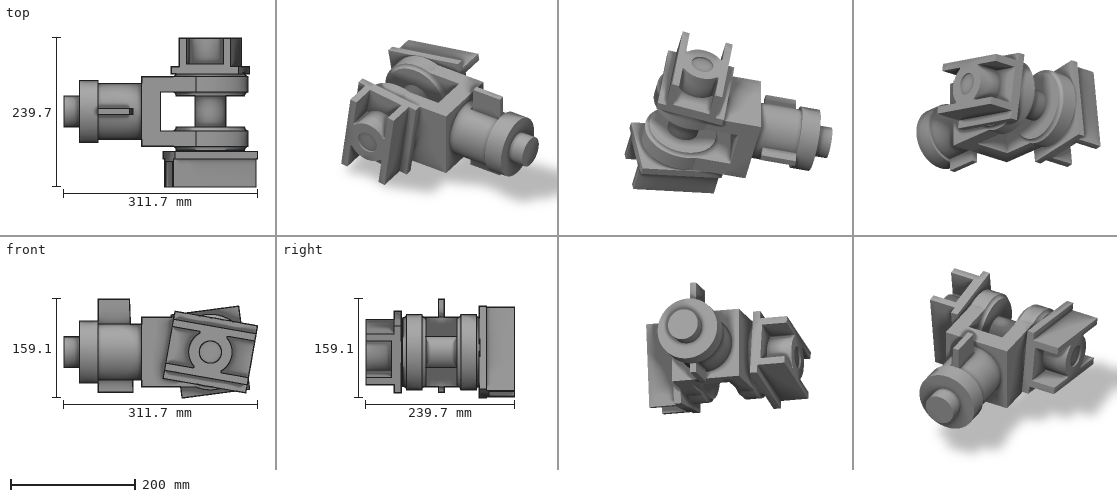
import cadquery as cq
import math


fork_width = 112.2
fork_half = fork_width / 2
block_left = -110.7
slot_left = -80.0
ear_thickness = 25.0
slot_width = fork_width - 2 * ear_thickness
ear_radius = 60.8
boss_radius = 55.2
boss_height = 6.2
boss_fillet = ear_radius - boss_radius

shank_diameter = 90.0
shank_length = 69.8
shank_left = block_left - shank_length
collar_diameter = 100.0
collar_thickness = 30.2
stub_diameter = 50.0
stub_length = 55.2

key_thickness = 10.0
key_top = 85.0
key_bottom = -64.8
key_top_length = 50.5
key_bottom_length = 56.5

shoe_length = 135.0
shoe_width = 109.7
shoe_height = 57.5
plate_thickness = 12.0
floor_thickness = 16.2
rail_outer_width = 83.2
rail_inner_width = 60.0
hub_radius = 35.0
hub_fillet = 2.0
shoe_gap = 124.7
shoe_shift = -2.0
front_shoe_angle = 10.0
rear_shoe_angle = 82.5

pin_diameter = 50.0
pin_end_diameter = 36.0
shoulder_clearance = 1.2
pin_recess = 3.0


def x_cylinder(diameter, left, length):
    return cq.Workplane("YZ", origin=(left, 0, 0)).circle(diameter / 2).extrude(length)


def y_cylinder(diameter, centre, length):
    start = (0, centre - length / 2, 0)
    return cq.Workplane("XZ", origin=start).circle(diameter / 2).extrude(-length)


def make_ear():
    """Round ear with a boss on each face, blended into the face by a concave fillet."""
    face = ear_thickness / 2
    tip = face + boss_height
    blend_end = face + boss_fillet
    blend_offset = boss_fillet * (1 - math.sqrt(0.5))
    blend_radius = boss_radius + blend_offset
    blend_height = face + blend_offset
    return (
        cq.Workplane("XY")
        .moveTo(0, -tip)
        .lineTo(boss_radius, -tip)
        .lineTo(boss_radius, -blend_end)
        .threePointArc((blend_radius, -blend_height), (ear_radius, -face))
        .lineTo(ear_radius, face)
        .threePointArc((blend_radius, blend_height), (boss_radius, blend_end))
        .lineTo(boss_radius, tip)
        .lineTo(0, tip)
        .close()
        .revolve(360, (0, 0, 0), (0, 1, 0))
    )


def make_fork():
    block = cq.Workplane("XY").box(-block_left, fork_width, fork_width)
    block = block.translate((block_left / 2, 0, 0))
    slot = cq.Workplane("XY").box(-slot_left, slot_width, fork_width)
    fork = block.cut(slot.translate((slot_left / 2, 0, 0)))
    for side in (-1, 1):
        ear_centre = side * (fork_half - ear_thickness / 2)
        fork = fork.union(make_ear().translate((0, ear_centre, 0)))
    fork = fork.union(x_cylinder(shank_diameter, shank_left, shank_length))
    fork = fork.union(x_cylinder(stub_diameter, shank_left - stub_length, stub_length))
    pin_bore = y_cylinder(pin_diameter, 0, fork_width + 2 * boss_height)
    key_slot = cq.Workplane("XY", origin=(shank_left + key_bottom_length / 2, 0, 0))
    key_slot = key_slot.box(key_bottom_length, key_thickness, shank_diameter)
    return fork.cut(pin_bore).cut(key_slot)


def make_collar():
    left = shank_left - collar_thickness
    ring = x_cylinder(collar_diameter, left, collar_thickness)
    return ring.cut(x_cylinder(stub_diameter, left, collar_thickness))


def make_key():
    """Wedge through the shank, bearing on the collar face and tapering upward."""
    return (
        cq.Workplane("XZ", origin=(shank_left, 0, 0))
        .polyline([
            (0, key_bottom),
            (key_bottom_length, key_bottom),
            (key_top_length, key_top),
            (0, key_top),
        ])
        .close()
        .extrude(key_thickness / 2, both=True)
    )


def make_pin():
    pin = y_cylinder(pin_diameter, shoe_shift, shoe_gap - 2 * shoulder_clearance)
    full_length = shoe_gap + 2 * (shoe_height - pin_recess)
    return pin.union(y_cylinder(pin_end_diameter, shoe_shift, full_length))


def make_shoe():
    """Shoe lying flat: plate on Z = 0, rails along X, open pockets beside the hub."""
    plate = cq.Workplane("XY").rect(shoe_length, shoe_width).extrude(plate_thickness)
    channel = cq.Workplane("XY").rect(shoe_length, rail_outer_width).extrude(shoe_height)
    pocket_depth = shoe_height - floor_thickness
    floor = cq.Workplane("XY", origin=(0, 0, floor_thickness))
    pockets = floor.rect(shoe_length, rail_inner_width).extrude(pocket_depth)
    pockets = pockets.cut(floor.circle(hub_radius).extrude(pocket_depth))
    corner_limit = (hub_radius + rail_outer_width / 2) / 2
    corners = cq.selectors.BoxSelector(
        (-hub_radius + hub_fillet, -corner_limit, 0),
        (hub_radius - hub_fillet, corner_limit, shoe_height),
    )
    pockets = pockets.edges("|Z").edges(corners).fillet(hub_fillet)
    bore = cq.Workplane("XY").circle(pin_end_diameter / 2).extrude(shoe_height)
    return plate.union(channel).cut(pockets).cut(bore)


def place_shoe(side, angle, fork):
    """Stand a shoe outside an ear, turned about the pivot and recessed for the boss."""
    shoe = make_shoe().rotate((0, 0, 0), (1, 0, 0), -90 * side)
    shoe = shoe.rotate((0, 0, 0), (0, 1, 0), angle)
    shoe = shoe.translate((0, shoe_shift + side * shoe_gap / 2, 0))
    return shoe.cut(fork)


key = make_key()
fork = make_fork()
collar = make_collar()
pin = make_pin()
shoes = []
for side, angle in ((-1, front_shoe_angle), (1, rear_shoe_angle)):
    shoes.append(place_shoe(side, angle, fork))

result = cq.Compound.makeCompound([
    fork.solids().val(),
    collar.solids().val(),
    key.solids().val(),
    pin.solids().val(),
    *[shoe.solids().val() for shoe in shoes],
])